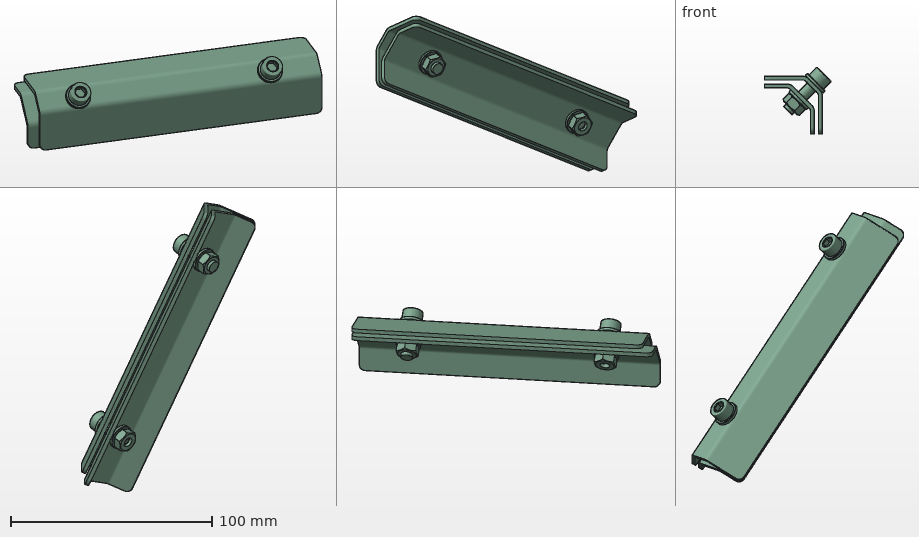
import cadquery as cq
import math

DIAGONAL = math.sqrt(2)

sheet = 2.0
upper_leg_width = 28.9
corner_radius = 3.0
bracket_hole_diameter = 6.5
half_bend_angle = 22.5

lower_length = 152.0
lower_face = 8.4
lower_web_setback = 11.9
lower_inside_radius = 2.3
upper_face = 12.3
upper_web_setback = 8.2
upper_inside_radius = 1.8
upper_shortening = 5.0
leg_end = upper_face - upper_leg_width
back_end = lower_length / 2
lower_front_end = -lower_length / 2
upper_front_end = lower_front_end + upper_shortening

screw_offset = 50.0
shank_diameter = 6.0
head_diameter = 10.2
head_height = 5.5
head_fillet = 0.2
socket_across_flats = 5.0
socket_depth = 3.0
socket_rim_diameter = 6.1
socket_lead_in_depth = 0.5
socket_lead_in_angle = 45
long_screw_protrusion = 1.8
short_screw_recess = 2.3

washer_diameter = 12.5
washer_hole_diameter = 6.4
washer_thickness = 1.5
washer_chamfer = 0.2

nut_across_flats = 10.0
nut_height = 5.0
nut_rim_diameter = 9.5
nut_turn = -5
nut_bore_diameter = 4.9
nut_chamfer_angle = 30.0

flats_to_corners = 1 / math.cos(math.radians(30))

upper_web_top = (2 * upper_face - upper_web_setback) / DIAGONAL
lower_web_bottom = (2 * lower_face - lower_web_setback) / DIAGONAL - sheet
head_base = upper_web_top + washer_thickness
nut_top = lower_web_bottom - washer_thickness
nut_bottom = nut_top - nut_height

screws = [
    (screw_offset, nut_bottom - long_screw_protrusion),
    (-screw_offset, nut_bottom + short_screw_recess),
]


def across_axis(y, height):
    """Workplane square to the screw axis at y; its local X is the Y direction."""
    foot = height / DIAGONAL
    return cq.Workplane(cq.Plane(origin=(foot, y, foot), xDir=(0, 1, 0), normal=(1, 0, 1)))


def make_bracket(face, web_setback, inside_radius, front_end):
    web_start = face - web_setback
    inner_face = face - sheet
    inner_web_start = web_start - sheet * math.tan(math.radians(half_bend_angle))
    profile = [
        (leg_end, face),
        (web_start, face),
        (face, web_start),
        (face, leg_end),
        (inner_face, leg_end),
        (inner_face, inner_web_start),
        (inner_web_start, inner_face),
        (leg_end, inner_face),
    ]
    bracket = (
        cq.Workplane("XZ", origin=(0, back_end, 0))
        .polyline(profile)
        .close()
        .extrude(back_end - front_end)
    )
    bends = [
        (web_start, face, inside_radius + sheet),
        (inner_web_start, inner_face, inside_radius),
    ]
    middle = (back_end + front_end) / 2
    for start, leg_face, radius in bends:
        for x, z in [(start, leg_face), (leg_face, start)]:
            bend_edge = cq.selectors.NearestToPointSelector((x, middle, z))
            bracket = bracket.edges("|Y").edges(bend_edge).fillet(radius)

    bracket = bracket.faces("<X").edges("|Z").fillet(corner_radius)
    bracket = bracket.faces("<Z").edges("|X").fillet(corner_radius)
    for y, _ in screws:
        hole = across_axis(y, 0).circle(bracket_hole_diameter / 2).extrude(upper_web_top, both=True)
        bracket = bracket.cut(hole)
    return bracket


def make_shank(y, tip):
    return across_axis(y, tip).circle(shank_diameter / 2).extrude(head_base - tip)


def make_screw(y, tip):
    head_top = head_base + head_height
    top_face = cq.selectors.DirectionMinMaxSelector(cq.Vector(1, 0, 1))
    head = across_axis(y, head_base).circle(head_diameter / 2).extrude(head_height)
    head = head.faces(top_face).edges().fillet(head_fillet)
    socket = (
        across_axis(y, head_top)
        .polygon(6, socket_across_flats * flats_to_corners)
        .extrude(-socket_depth)
    )
    lead_in = (
        across_axis(y, head_top)
        .circle(socket_rim_diameter / 2)
        .extrude(-socket_lead_in_depth, taper=socket_lead_in_angle)
    )
    return head.cut(socket).cut(lead_in).union(make_shank(y, tip))


def make_washer(y, bearing_height, outward):
    """Washer lying against a bracket; outward is +1 or -1 along the screw axis."""
    exposed_face = cq.selectors.DirectionMinMaxSelector(cq.Vector(outward, 0, outward))
    disc = across_axis(y, bearing_height).circle(washer_diameter / 2).extrude(outward * washer_thickness)
    disc = disc.faces(exposed_face).edges().chamfer(washer_chamfer)
    hole = (
        across_axis(y, bearing_height)
        .circle(washer_hole_diameter / 2)
        .extrude(outward * washer_thickness)
    )
    return disc.cut(hole)


def make_nut(y, tip):
    corners_diameter = nut_across_flats * flats_to_corners
    hexagon = (
        across_axis(y, nut_bottom)
        .transformed(rotate=(0, 0, 30 + nut_turn))
        .polygon(6, corners_diameter)
        .extrude(nut_height)
    )
    rim_width = (corners_diameter - nut_rim_diameter) / 2
    rim_height = rim_width * math.tan(math.radians(nut_chamfer_angle))
    envelope = across_axis(y, nut_bottom).circle(corners_diameter / 2).extrude(nut_height)
    envelope = envelope.edges().chamfer(rim_height, rim_width)
    bore = across_axis(y, nut_bottom).circle(nut_bore_diameter / 2).extrude(nut_height)
    return hexagon.intersect(envelope).cut(bore).cut(make_shank(y, tip))


upper_bracket = make_bracket(upper_face, upper_web_setback, upper_inside_radius, upper_front_end)
lower_bracket = make_bracket(lower_face, lower_web_setback, lower_inside_radius, lower_front_end)

fasteners = []
for screw_y, screw_tip in screws:
    screw = make_screw(screw_y, screw_tip)
    head_washer = make_washer(screw_y, upper_web_top, 1)
    nut_washer = make_washer(screw_y, lower_web_bottom, -1)
    nut = make_nut(screw_y, screw_tip)
    fasteners += [screw.val(), head_washer.val(), nut_washer.val(), nut.val()]

result = cq.Compound.makeCompound([upper_bracket.val(), lower_bracket.val(), *fasteners])